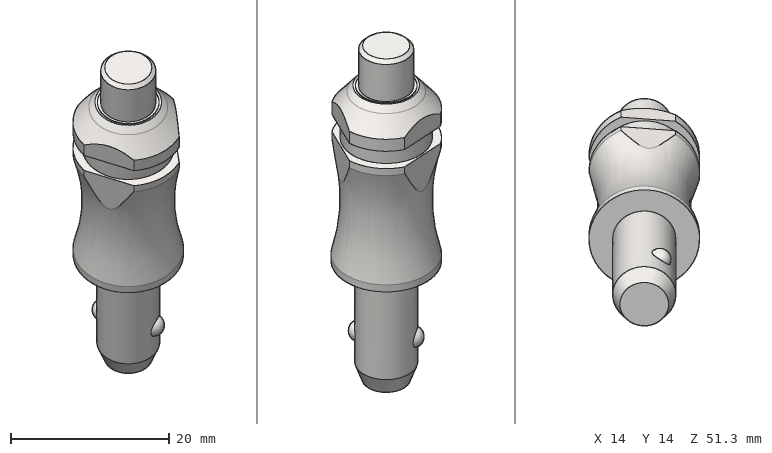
import cadquery as cq

shank_radius = 4.0
tip_radius = 3.1
tip_height = 2.6

handle_diameter = 14.0
handle_radius = handle_diameter / 2
waist_radius = 5.85
handle_bottom = 18.2
handle_top = 37.2
band_height = 1.1

neck_height = 2.65
collar_band_height = 1.85
cone_height = 2.55
cone_top_radius = 5.0
crown_height = 0.9
crown_radius = 4.2
crown_land_radius = 3.9
crown_recess_depth = 0.1

button_radius = 3.5
button_top = 51.3
button_chamfer = 0.5

flat_count = 3
flat_distance = 6.1
flat_bottom = 28.2
first_flat_angle = -90.0

ball_radius = 1.45
ball_reach = 4.85
ball_height = 6.9

waist_height = (handle_bottom + handle_top) / 2
collar_bottom = handle_top + neck_height
cone_bottom = collar_bottom + collar_band_height
cone_top = cone_bottom + cone_height
crown_top = cone_top + crown_height
crown_floor = crown_top - crown_recess_depth


def revolved_body():
    """Shank, handle, neck, collar and button turned as one profile."""
    profile = (
        cq.Workplane("XZ")
        .lineTo(tip_radius, 0)
        .lineTo(shank_radius, tip_height)
        .lineTo(shank_radius, handle_bottom)
        .lineTo(handle_radius, handle_bottom)
        .lineTo(handle_radius, handle_bottom + band_height)
        .threePointArc((waist_radius, waist_height), (handle_radius, handle_top - band_height))
        .lineTo(handle_radius, handle_top)
        .lineTo(waist_radius, handle_top)
        .lineTo(waist_radius, collar_bottom)
        .lineTo(handle_radius, collar_bottom)
        .lineTo(handle_radius, cone_bottom)
        .lineTo(cone_top_radius, cone_top)
        .lineTo(crown_radius, crown_top)
        .lineTo(crown_land_radius, crown_top)
        .lineTo(crown_land_radius, crown_floor)
        .lineTo(button_radius, crown_floor)
        .lineTo(button_radius, button_top - button_chamfer)
        .lineTo(button_radius - button_chamfer, button_top)
        .lineTo(0, button_top)
        .close()
    )
    return profile.revolve(360, (0, 0, 0), (0, 1, 0))


def flat_cutter(angle):
    """Block whose inner face trims one flat facing the given direction."""
    depth = handle_radius
    return (
        cq.Workplane("XY")
        .box(depth, 2 * handle_radius, crown_top - flat_bottom, centered=(False, True, False))
        .translate((flat_distance, 0, flat_bottom))
        .rotate((0, 0, 0), (0, 0, 1), angle)
    )


def locking_ball(side):
    """Ball protruding from the shank towards +X or -X."""
    center_x = side * (ball_reach - ball_radius)
    return cq.Workplane("XY").sphere(ball_radius).translate((center_x, 0, ball_height))


result = revolved_body()
for index in range(flat_count):
    result = result.cut(flat_cutter(first_flat_angle + index * 360 / flat_count))
for side in (-1, 1):
    result = result.union(locking_ball(side))